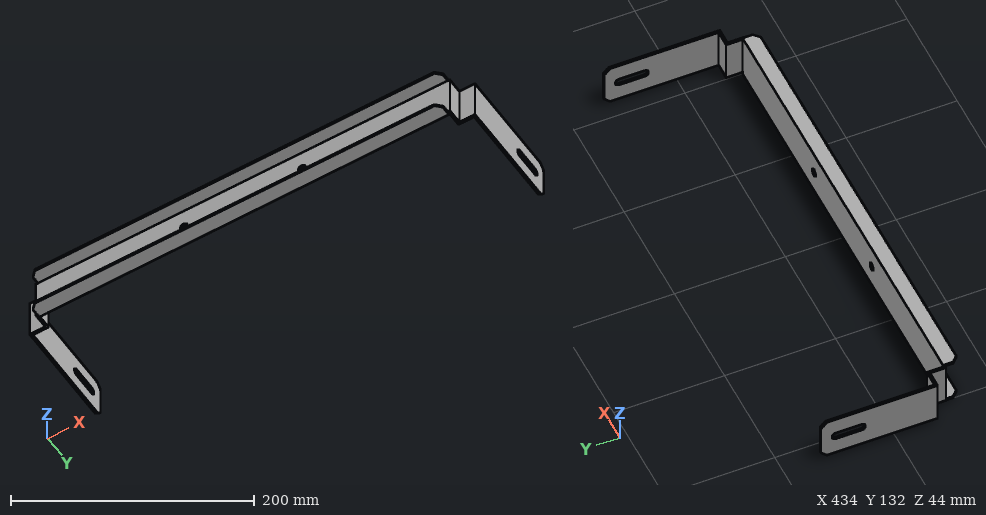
import cadquery as cq

length = 434.0
depth = 132.0
height = 44.0
sheet = 2.0
flange_depth = 14.5
step_width = 15.0
step_front = 27.0
corner_cut = 5.0
hole_diameter = 7.0
hole_spacing = 115.0
slot_length = 30.0
slot_width = 7.0
slot_end_gap = 10.0

half_length = length / 2
web_height = height - 2 * sheet
web_half_length = half_length - step_width
flange_length = 2 * (web_half_length - sheet)
web_front = flange_depth - sheet
slot_center_y = depth - slot_end_gap - slot_length / 2


def make_strip():
    """Constant-height strip that forms the web, the two steps and the two arms."""
    right_outer = [
        (web_half_length, web_front),
        (web_half_length, step_front),
        (half_length, step_front),
        (half_length, depth),
    ]
    right_inner = [
        (half_length - sheet, depth),
        (half_length - sheet, step_front + sheet),
        (web_half_length - sheet, step_front + sheet),
        (web_half_length - sheet, flange_depth),
    ]
    right_side = right_outer + right_inner
    left_side = [(-x, y) for x, y in reversed(right_side)]
    strip = (
        cq.Workplane("XY")
        .polyline(right_side + left_side)
        .close()
        .extrude(web_height / 2, both=True)
    )
    return strip.faces(">Y").edges("|X").chamfer(corner_cut)


def make_flange(bottom_z):
    """Horizontal flange with chamfered front corners."""
    return (
        cq.Workplane("XY", origin=(0, flange_depth / 2, bottom_z))
        .rect(flange_length, flange_depth)
        .extrude(sheet)
        .faces("<Y")
        .edges("|Z")
        .chamfer(corner_cut)
    )


def make_web_holes():
    """Pair of round holes through the web."""
    return (
        cq.Workplane("XZ", origin=(0, flange_depth, 0))
        .pushPoints([(-hole_spacing / 2, 0), (hole_spacing / 2, 0)])
        .circle(hole_diameter / 2)
        .extrude(flange_depth)
    )


def make_arm_slots():
    """Round-ended slot running through both arms."""
    return (
        cq.Workplane("YZ")
        .center(slot_center_y, 0)
        .slot2D(slot_length, slot_width)
        .extrude(half_length, both=True)
    )


result = make_strip()
for flange_bottom in (-height / 2, web_height / 2):
    result = result.union(make_flange(flange_bottom))
result = result.cut(make_web_holes()).cut(make_arm_slots())